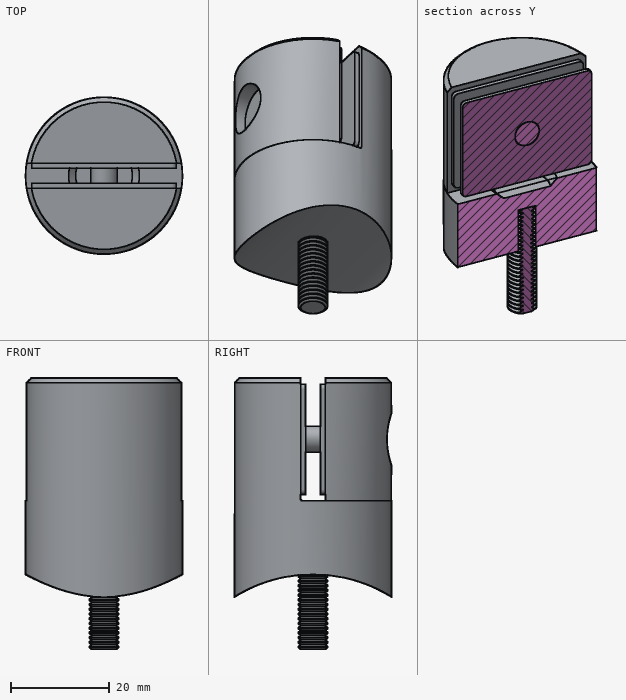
import cadquery as cq

post_diameter = 32.0
post_radius = post_diameter / 2
top_z = 55.3
top_chamfer = 1.0
slot_depth = 25.0
slot_width = 5.05
slot_fillet = 0.4
floor_z = top_z - slot_depth
slot_face_y = slot_width / 2

saddle_radius = 30.1
saddle_top_z = 15.25

recess_floor_diameter = 11.55
recess_depth = 1.45
recess_mouth_diameter = recess_floor_diameter + 2 * recess_depth

pad_width = 29.5
pad_height = 22.5
pad_thickness = 1.0
pad_corner_radius = 1.0

screw_diameter = 5.35
screw_z = top_z - slot_depth / 2
screw_tip_y = -10.0
head_diameter = 10.0
head_length = 6.0
head_bore_diameter = 10.55
head_seat_y = 7.0

stud_diameter = 6.0
stud_core_diameter = 5.0
stud_length = 25.0
ridge_count = 26
thread_pitch = stud_length / ridge_count
thread_crest_width = 0.15


def half_space_box(y_start, y_end, z_start, z_end):
    """Box wide enough to span the post in X."""
    return (
        cq.Workplane("XY")
        .box(2 * post_diameter, y_end - y_start, z_end - z_start, centered=(True, False, False))
        .translate((0, y_start, z_start))
    )


def cylinder_along_y(diameter, y_start, y_end):
    """Cylinder on the clamp screw's axis."""
    return (
        cq.Workplane("XZ", origin=(0, y_start, screw_z))
        .circle(diameter / 2)
        .extrude(-(y_end - y_start))
    )


def make_column():
    """Full round column with its top rim chamfered."""
    column = cq.Workplane("XY").circle(post_radius).extrude(top_z)
    return column.faces(">Z").chamfer(top_chamfer)


def make_recess():
    """Truncated cone that opens into the slot floor."""
    return (
        cq.Workplane("XY", origin=(0, 0, floor_z - recess_depth))
        .circle(recess_floor_diameter / 2)
        .workplane(offset=recess_depth)
        .circle(recess_mouth_diameter / 2)
        .loft()
    )


def make_housing():
    """Column without the clamp's half, with the saddle, recess and holes."""
    opening = half_space_box(-slot_face_y, post_diameter, floor_z, 2 * top_z)
    opening = opening.faces("<Y").edges("<Z").fillet(slot_fillet)
    saddle = (
        cq.Workplane("YZ", origin=(-post_diameter, 0, 0))
        .center(0, saddle_top_z - saddle_radius)
        .circle(saddle_radius)
        .extrude(2 * post_diameter)
    )
    stud_hole = cq.Workplane("XY").circle(stud_diameter / 2).extrude(stud_length)
    screw_hole = cylinder_along_y(screw_diameter, screw_tip_y, 0)
    housing = make_column().cut(opening).cut(saddle)
    return housing.cut(make_recess()).cut(stud_hole).cut(screw_hole)


def make_clamp():
    """Loose half of the column top, bored for the screw and its head."""
    half = half_space_box(slot_face_y, post_diameter, floor_z, top_z)
    screw_hole = cylinder_along_y(screw_diameter, 0, post_diameter)
    head_bore = cylinder_along_y(head_bore_diameter, head_seat_y, post_diameter)
    return make_column().intersect(half).cut(screw_hole).cut(head_bore)


def make_pad(side):
    """Pad on the slot face at +Y (side = 1) or -Y (side = -1)."""
    middle_y = side * (slot_face_y - pad_thickness / 2)
    pad = (
        cq.Workplane("XY")
        .box(pad_width, pad_thickness, pad_height)
        .edges("|Y")
        .fillet(pad_corner_radius)
        .translate((0, middle_y, screw_z))
    )
    return pad.cut(cylinder_along_y(screw_diameter, -slot_width, slot_width))


def make_screw():
    """Plain shank with a round head that sits in the clamp."""
    shank = cylinder_along_y(screw_diameter, screw_tip_y, head_seat_y)
    head = cylinder_along_y(head_diameter, head_seat_y, head_seat_y + head_length)
    return shank.union(head)


def make_stud():
    """Rod with equal ring-shaped ridges for its thread; half a groove tapers its tip."""
    core_radius = stud_core_diameter / 2
    crest_radius = stud_diameter / 2
    outline = [(0, 0), (core_radius, 0)]
    for ridge in range(ridge_count):
        ridge_middle_z = (ridge + 0.5) * thread_pitch
        outline.append((crest_radius, ridge_middle_z - thread_crest_width / 2))
        outline.append((crest_radius, ridge_middle_z + thread_crest_width / 2))
        outline.append((core_radius, (ridge + 1) * thread_pitch))
    outline.append((0, stud_length))
    return cq.Workplane("XZ").polyline(outline).close().revolve(360, (0, 0, 0), (0, 1, 0))


housing = make_housing()
clamp = make_clamp()
pads = [make_pad(side) for side in (-1, 1)]
screw = make_screw()
stud = make_stud()

bodies = [housing, clamp, *pads, screw, stud]
result = cq.Compound.makeCompound([body.solids().val() for body in bodies])